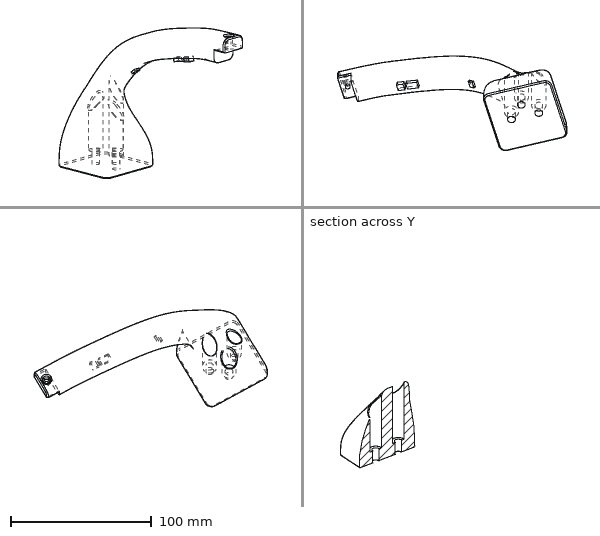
import cadquery as cq
import math

total_length = 165.0
total_height = 125.9
base_size = 50.0
base_plinth = 5.0
arm_size = 20.0
edge_radius = 5.0
small_chamfer = 1.0
fine_chamfer = 0.3

root_x = 33.2
root_z = 73.5
root_angle = math.radians(54)

arm_top_bow = [(58.2, 100.3), (90.1, 115.7), (122.1, 123.1)]
outer_flare_bow = [(5.5, 29.7), (16.7, 50.3)]
inner_flare_bow = [(47.0, 31.4), (45.2, 47.8)]
back_flare_bow = [(44.2, 24.9), (31.0, 46.2), (22.1, 62.5)]
underside_spans = 6

tongue_length = 10.0
tongue_height = 10.0
tongue_x = total_length - tongue_length
tongue_bottom = total_height - tongue_height

hole_pitch = 10.0
base_hole_diameter = 5.5
base_bore_diameter = 10.0
base_bore_floor = 10.0
first_hole_x = 15.0
first_hole_y = 25.0
base_holes = [
    (first_hole_x, first_hole_y, small_chamfer),
    (first_hole_x + 2 * hole_pitch, first_hole_y, fine_chamfer),
    (first_hole_x + hole_pitch, first_hole_y + hole_pitch, small_chamfer),
]
tip_hole_x = tongue_x + tongue_length / 2
tip_hole_diameter = 3.5
tip_bore_diameter = 5.6
tip_bore_depth = 5.0
tip_bore_floor = total_height - tip_bore_depth

tab_width = 5.0
tab_root = 1.6
tabs = [(0.24, 3.8, 1.6), (0.655, 8.2, 2.8), (0.72, 5.0, 3.3)]

selection_margin = 0.2

UP = cq.Vector(0, 0, 1)
ALONG_X = cq.Vector(1, 0, 0)
ARM_DIRECTION = cq.Vector(math.cos(root_angle), 0, math.sin(root_angle))


def spline(points, start_direction, end_direction):
    """Smooth curve through 3D points with given end directions."""
    return cq.Edge.makeSpline([cq.Vector(*p) for p in points], [start_direction, end_direction])


def line(start, end):
    return cq.Edge.makeLine(cq.Vector(*start), cq.Vector(*end))


def in_xz(points):
    return [(x, 0, z) for x, z in points]


def in_yz(points):
    return [(0, y, z) for y, z in points]


def arm_top_edge():
    """Bowed top line of the arm, from the base junction to the tongue."""
    points = [(root_x, root_z), *arm_top_bow, (tongue_x, total_height)]
    return spline(in_xz(points), ARM_DIRECTION, ALONG_X)


def below_arm(share, depth):
    """Point at a depth square to the top line, at a share of its length."""
    top = arm_top_edge()
    tangent = top.tangentAt(share)
    inward = cq.Vector(tangent.z, 0, -tangent.x)
    return top.positionAt(share) + inward * depth


def side_outline():
    """Closed outline in the XZ plane: foot, flare and curved arm."""
    top = arm_top_edge()
    under_points = [
        below_arm(i / underside_spans, arm_size).toTuple() for i in range(underside_spans + 1)]
    under = spline(under_points, ARM_DIRECTION, ALONG_X)
    outer_points = in_xz([(0, base_plinth), *outer_flare_bow, (root_x, root_z)])
    outer_flare = spline(outer_points, UP, ARM_DIRECTION)
    inner_points = in_xz([(base_size, base_plinth), *inner_flare_bow]) + [under_points[0]]
    inner_flare = spline(inner_points, UP, ARM_DIRECTION)
    arm_bottom = total_height - arm_size
    return cq.Wire.assembleEdges([
        line((0, 0, 0), (0, 0, base_plinth)),
        outer_flare,
        top,
        line((tongue_x, 0, total_height), (total_length, 0, total_height)),
        line((total_length, 0, total_height), (total_length, 0, arm_bottom)),
        line((total_length, 0, arm_bottom), (tongue_x, 0, arm_bottom)),
        under,
        inner_flare,
        line((base_size, 0, base_plinth), (base_size, 0, 0)),
        line((base_size, 0, 0), (0, 0, 0)),
    ])


def back_outline():
    """Closed outline in the YZ plane: the back flares from the arm out to the foot."""
    flare_points = in_yz([(base_size, base_plinth), *back_flare_bow, (arm_size, root_z)])
    flare = spline(flare_points, UP, UP)
    return cq.Wire.assembleEdges([
        line((0, 0, 0), (0, base_size, 0)),
        line((0, base_size, 0), (0, base_size, base_plinth)),
        flare,
        line((0, arm_size, root_z), (0, arm_size, total_height)),
        line((0, arm_size, total_height), (0, 0, total_height)),
        line((0, 0, total_height), (0, 0, 0)),
    ])


def make_body():
    """Sharp-edged solid common to the two extruded outlines."""
    side = cq.Solid.extrudeLinear(side_outline(), [], cq.Vector(0, base_size, 0))
    back = cq.Solid.extrudeLinear(back_outline(), [], cq.Vector(total_length, 0, 0))
    return cq.Workplane(side).intersect(cq.Workplane(back))


def round_long_edges(body):
    return body.edges("not(|Y or <Z or >X)").fillet(edge_radius)


def chamfer_foot(body):
    return body.faces("<Z").chamfer(small_chamfer)


def cut_tongue(body):
    """Remove the lower half of the tip and bevel the tongue that remains."""
    notch = cq.Workplane().box(tongue_length, arm_size, tongue_bottom, centered=False)
    body = body.cut(notch.translate((tongue_x, 0, 0)))
    body = body.faces(">X").edges("not <Z").chamfer(small_chamfer)
    near_bottom = cq.selectors.BoxSelector(
        (tongue_x, -selection_margin, tongue_bottom - selection_margin),
        (total_length, arm_size + selection_margin, tongue_bottom + selection_margin),
    )
    return body.edges(near_bottom).edges("|X").chamfer(small_chamfer)


def counterbore(body, x, y, hole_diameter, bore_diameter, bore_floor, rim_chamfer):
    """Vertical through hole with a bore open to the top and a beveled rim."""
    tool = cq.Workplane().circle(hole_diameter / 2).extrude(total_height)
    bore = cq.Workplane().circle(bore_diameter / 2).extrude(total_height - bore_floor)
    tool = tool.union(bore.translate((0, 0, bore_floor)))
    body = body.cut(tool.translate((x, y, 0)))
    reach = bore_diameter / 2 + selection_margin
    above_floor = cq.selectors.BoxSelector(
        (x - reach, y - reach, bore_floor + selection_margin),
        (x + reach, y + reach, total_height + selection_margin),
        boundingbox=True,
    )
    return body.edges(above_floor).edges("not |Z").chamfer(rim_chamfer)


def tab(share, length, projection):
    """Small block across the middle of the arm, standing out of its underside."""
    tangent = arm_top_edge().tangentAt(share)
    frame = cq.Plane(
        origin=below_arm(share, arm_size - tab_root) + cq.Vector(0, arm_size / 2, 0),
        xDir=tangent,
        normal=cq.Vector(tangent.z, 0, -tangent.x),
    )
    return cq.Workplane(frame).rect(length, tab_width).extrude(tab_root + projection)


body = make_body()
body = round_long_edges(body)
body = chamfer_foot(body)
body = cut_tongue(body)
for x, y, rim_chamfer in base_holes:
    body = counterbore(body, x, y, base_hole_diameter, base_bore_diameter, base_bore_floor, rim_chamfer)
body = counterbore(
    body, tip_hole_x, arm_size / 2, tip_hole_diameter, tip_bore_diameter, tip_bore_floor, small_chamfer)
for share, length, projection in tabs:
    body = body.union(tab(share, length, projection))

result = body